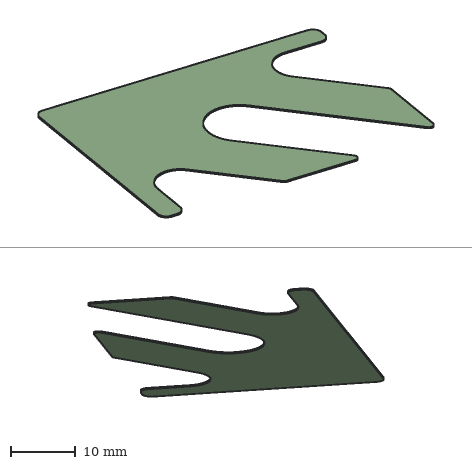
import cadquery as cq
import math

WIDTH = 38.1
HEIGHT = 50.8
THICKNESS = 0.254

SLOT_RADIUS = 5.6

NOTCH_RADIUS = 4.064
LEG_WIDTH = 4.064
NOTCH_INSET = LEG_WIDTH + NOTCH_RADIUS

LEG_CORNER_RADIUS = 1.524
PRONG_TIP_RADIUS = 0.762
PRONG_SHOULDER_RADIUS = 0.762

DIAGONAL = math.sqrt(0.5)


def add_recess(outline, center, radius, start_angle, end_angle):
    """Draw a line to a recess, then follow its round bottom between two angles."""

    def on_circle(angle):
        turn = math.radians(angle)
        return (center[0] + radius * math.cos(turn), center[1] + radius * math.sin(turn))

    middle_angle = (start_angle + end_angle) / 2
    outline = outline.lineTo(*on_circle(start_angle))
    return outline.threePointArc(on_circle(middle_angle), on_circle(end_angle))


slot_center = (WIDTH / 2, HEIGHT / 2)
slot_offset = slot_center[1] - slot_center[0]
slot_half_offset = SLOT_RADIUS / DIAGONAL
top_notch_center = (NOTCH_INSET, HEIGHT - NOTCH_INSET)
right_notch_center = (WIDTH - NOTCH_INSET, NOTCH_INSET)
notch_half_offset = NOTCH_RADIUS / DIAGONAL
top_notch_offset = top_notch_center[1] - top_notch_center[0] - notch_half_offset
right_notch_offset = right_notch_center[1] - right_notch_center[0] + notch_half_offset

top_shoulder = (HEIGHT - top_notch_offset, HEIGHT)
top_tip = (HEIGHT - slot_offset - slot_half_offset, HEIGHT)
right_tip = (WIDTH, WIDTH + slot_offset - slot_half_offset)
right_shoulder = (WIDTH, WIDTH + right_notch_offset)

leg_corners = [
    (0, 0),
    (0, HEIGHT),
    (LEG_WIDTH, HEIGHT),
    (WIDTH, LEG_WIDTH),
    (WIDTH, 0),
]


def make_plate():
    """Sharp-cornered plate, drawn clockwise from the lower left corner."""
    outline = cq.Workplane("XY").moveTo(0, 0).lineTo(0, HEIGHT).lineTo(LEG_WIDTH, HEIGHT)
    outline = add_recess(outline, top_notch_center, NOTCH_RADIUS, 180, 315)
    outline = outline.lineTo(*top_shoulder).lineTo(*top_tip)
    outline = add_recess(outline, slot_center, SLOT_RADIUS, 135, 315)
    outline = outline.lineTo(*right_tip).lineTo(*right_shoulder)
    outline = add_recess(outline, right_notch_center, NOTCH_RADIUS, 135, 270)
    outline = outline.lineTo(WIDTH, LEG_WIDTH).lineTo(WIDTH, 0).close()
    return outline.extrude(THICKNESS)


def round_corners(plate, corners, radius):
    """Fillet the upright edges that stand at the given corners."""
    for x, y in corners:
        nearest = cq.selectors.NearestToPointSelector((x, y, THICKNESS / 2))
        plate = plate.edges("|Z").edges(nearest).fillet(radius)
    return plate


result = make_plate()
result = round_corners(result, leg_corners, LEG_CORNER_RADIUS)
result = round_corners(result, [top_tip, right_tip], PRONG_TIP_RADIUS)
result = round_corners(result, [top_shoulder, right_shoulder], PRONG_SHOULDER_RADIUS)